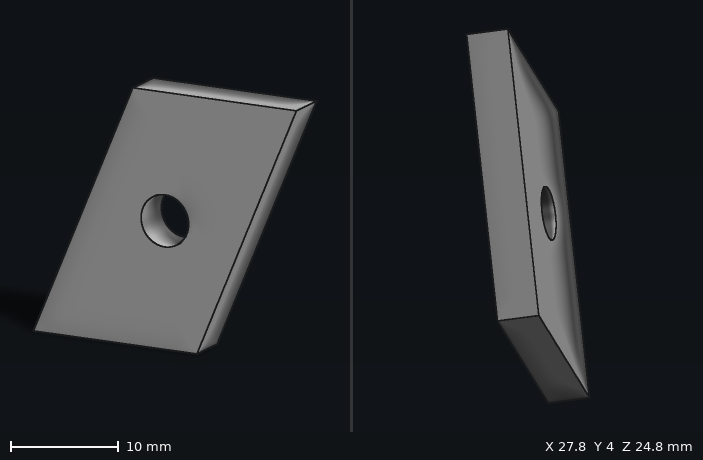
import cadquery as cq

overall_length = 27.83
height = 24.8
thickness = 4.0
edge_length = 17.3
hole_diameter = 5.0

lean = overall_length - edge_length
half_length = overall_length / 2
half_height = height / 2

plate = (
    cq.Workplane("XZ")
    .moveTo(-half_length, -half_height)
    .lineTo(-half_length + edge_length, -half_height)
    .lineTo(half_length, half_height)
    .lineTo(-half_length + lean, half_height)
    .close()
    .extrude(thickness / 2, both=True)
)

result = plate.faces("<Y").workplane(origin=(0, 0, 0)).hole(hole_diameter)